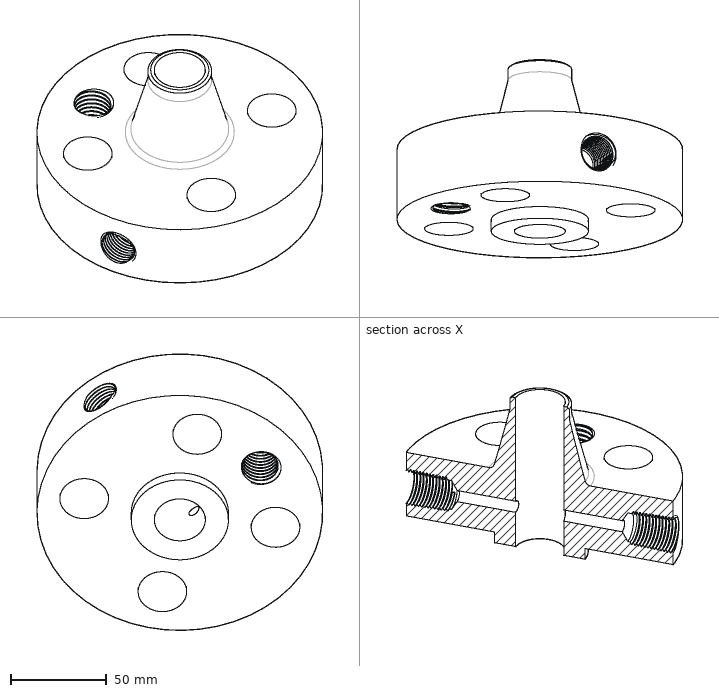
import math

import cadquery as cq

INCH = 25.4

flange_diameter = 149.35
flange_thickness = 1.5 * INCH
face_diameter = 2 * INCH
face_height = 0.25 * INCH
flange_top = face_height + flange_thickness

overall_height = 3.5 * INCH
bore_diameter = 26.64
pipe_diameter = 33.4
pipe_length = 7.0
hub_diameter = 52.3
hub_fillet = 3.0
weld_bevel_width = 1.5
weld_bevel_height = 1.0

bolt_circle_diameter = 4 * INCH
bolt_hole_diameter = 1 * INCH
bolt_count = 4
first_bolt_angle = 45

jack_offset = bolt_circle_diameter / 2
jack_pitch = INCH / 9
jack_major_diameter = 0.875 * INCH
jack_groove_depth = 0.541 * jack_pitch
jack_minor_diameter = jack_major_diameter - 2 * jack_groove_depth
jack_turns = 15.3
jack_start_angle = 290
jack_crossing_angle = 225
jack_lead_in = 1 - (jack_start_angle - jack_crossing_angle) / 360

tap_height = 15 / 16 * INCH
tap_passage_diameter = 0.25 * INCH
tap_pitch = INCH / 14
tap_taper_slope = 1 / 32
tap_groove_depth = 0.8 * tap_pitch
tap_minor_diameter = 18.32
tap_turns = 14
tap_depth = tap_turns * tap_pitch
tap_start_angle = 200
tap_point_angle = 118
rim_radius = flange_diameter / 2
tap_floor = rim_radius - tap_depth
tap_floor_radius = tap_minor_diameter / 2 - tap_depth * tap_taper_slope

jack_root_share = 1 / 8
jack_mouth_share = 3 / 4
tap_root_share = 0.08
tap_mouth_share = 0.85
groove_overlap = 0.1


def flange_body():
    hub_top = overall_height - pipe_length
    pipe_radius = pipe_diameter / 2
    profile = (
        cq.Workplane("XZ")
        .moveTo(0, 0)
        .lineTo(face_diameter / 2, 0)
        .lineTo(face_diameter / 2, face_height)
        .lineTo(flange_diameter / 2, face_height)
        .lineTo(flange_diameter / 2, flange_top)
        .lineTo(hub_diameter / 2, flange_top)
        .lineTo(pipe_radius, hub_top)
        .lineTo(pipe_radius, overall_height - weld_bevel_height)
        .lineTo(pipe_radius - weld_bevel_width, overall_height)
        .lineTo(0, overall_height)
        .close()
    )
    body = profile.revolve(360, (0, 0, 0), (0, 1, 0))
    body = body.edges(cq.selectors.RadiusNthSelector(-2)).fillet(hub_fillet)
    bore = cq.Workplane("XY").circle(bore_diameter / 2).extrude(overall_height)
    return body.cut(bore)


def bolt_holes():
    return (
        cq.Workplane("XY")
        .polarArray(bolt_circle_diameter / 2, first_bolt_angle, 360, bolt_count)
        .circle(bolt_hole_diameter / 2)
        .extrude(flange_top)
    )


def thread_groove(pitch, turns, wall_radius, depth, root_share, mouth_share, taper_slope=0):
    """Helical groove about Z, starting at Z = 0 on the +X side of a wall of the given radius."""
    height = pitch * turns
    if taper_slope:
        taper_angle = math.degrees(math.atan(taper_slope))
        helix = cq.Wire.makeHelix(pitch, height, wall_radius, angle=taper_angle)
    else:
        helix = cq.Wire.makeHelix(pitch, height, wall_radius)
    half_root = root_share * pitch / 2
    half_mouth = mouth_share * pitch / 2
    flank_slope = (half_mouth - half_root) / depth
    half_inner = half_mouth + flank_slope * groove_overlap
    inner_radius = wall_radius - groove_overlap
    outer_radius = wall_radius + depth
    return (
        cq.Workplane("XZ")
        .moveTo(inner_radius, -half_inner)
        .lineTo(outer_radius, -half_root)
        .lineTo(outer_radius, half_root)
        .lineTo(inner_radius, half_inner)
        .close()
        .sweep(cq.Workplane(obj=helix), isFrenet=True)
    )


def jack_screw_drill():
    return (
        cq.Workplane("XY")
        .center(-jack_offset, 0)
        .circle(jack_minor_diameter / 2)
        .extrude(flange_top)
    )


def jack_screw_groove():
    """Helical groove that runs out past both faces of the disc."""
    groove = thread_groove(
        jack_pitch,
        jack_turns,
        jack_minor_diameter / 2,
        jack_groove_depth,
        jack_root_share,
        jack_mouth_share,
    )
    start_height = face_height - jack_lead_in * jack_pitch
    return groove.rotate((0, 0, 0), (0, 0, 1), jack_start_angle).translate(
        (-jack_offset, 0, start_height)
    )


def facing_front(shape):
    """Turn a cutter built along +Z to point along -Y at the tap height."""
    return shape.rotate((0, 0, 0), (1, 0, 0), 90).translate((0, 0, tap_height))


def tap_drill():
    """Passage from the bore, drill point and tapered hole."""
    passage_radius = tap_passage_diameter / 2
    point_length = (tap_floor_radius - passage_radius) / math.tan(math.radians(tap_point_angle / 2))
    drill = (
        cq.Workplane("XZ")
        .lineTo(passage_radius, 0)
        .lineTo(passage_radius, tap_floor - point_length)
        .lineTo(tap_floor_radius, tap_floor)
        .lineTo(tap_minor_diameter / 2, rim_radius)
        .lineTo(0, rim_radius)
        .close()
        .revolve(360, (0, 0, 0), (0, 1, 0))
    )
    return facing_front(drill)


def tap_groove():
    """Tapered helical groove, from one pitch above the tap floor to one pitch past the rim."""
    groove = thread_groove(
        tap_pitch,
        tap_turns,
        tap_floor_radius + tap_pitch * tap_taper_slope,
        tap_groove_depth,
        tap_root_share,
        tap_mouth_share,
        tap_taper_slope,
    )
    groove = groove.rotate((0, 0, 0), (0, 0, 1), tap_start_angle)
    groove = groove.translate((0, 0, tap_floor + tap_pitch))
    return facing_front(groove)


result = flange_body().cut(bolt_holes()).cut(jack_screw_drill()).cut(jack_screw_groove())
for cutter in (tap_drill(), tap_groove()):
    for side_angle in (0, 180):
        result = result.cut(cutter.rotate((0, 0, 0), (0, 0, 1), side_angle))